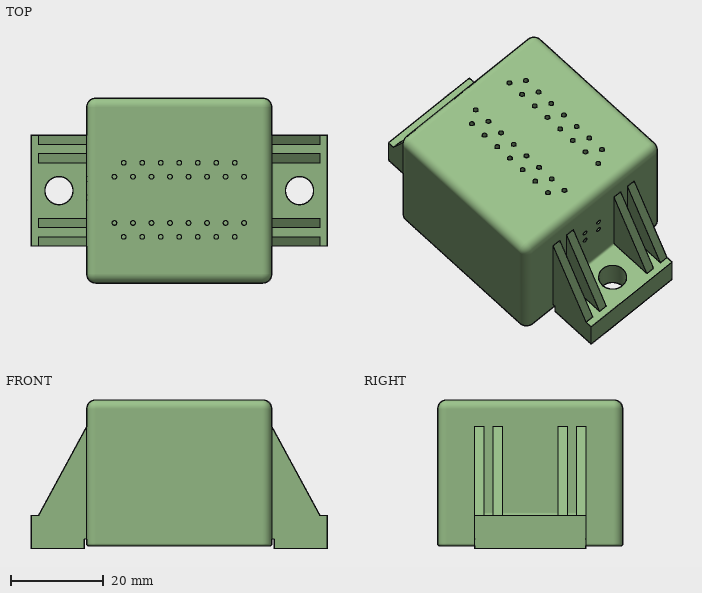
import cadquery as cq

LENGTH = 64.0
BODY_SIDE = 40.0
TOTAL_HEIGHT = 32.1
BODY_BOTTOM = 0.5
BODY_ROUND = 2.0
BODY_BOTTOM_ROUND = 0.5

FOOT_WIDTH = 24.0
FOOT_HEIGHT = 7.2
FOOT_GAP = 0.5
FOOT_GAP_TOP = 2.05
FOOT_ROUND = 0.5
SCREW_HOLE_DIAMETER = 6.0
SCREW_HOLE_INSET = 6.0

RIB_THICKNESS = 2.0
RIB_INSET = 1.6
RIB_TOP = 26.4
INNER_RIB_OFFSET = 6.0

VENT_DIAMETER = 1.0
VENT_DEPTH = 2.0
VENT_PITCH = 4.0
VENT_ROW_STEP = 3.0
INNER_ROW_COUNT = 8
OUTER_ROW_COUNT = 7
ROW_GROUP_CENTER_Y = -2.0
INNER_ROW_OFFSET = 5.0
SIDE_VENT_Y = 0.5
SIDE_VENT_Z = 19.6

HALF_LENGTH = LENGTH / 2
HALF_BODY = BODY_SIDE / 2


def make_body():
    """Square block with large rounds above and on the sides, small rounds below."""
    block = cq.Workplane("XY").workplane(offset=BODY_BOTTOM)
    block = block.rect(BODY_SIDE, BODY_SIDE).extrude(TOTAL_HEIGHT - BODY_BOTTOM)
    block = block.edges("|Z or >Z").fillet(BODY_ROUND)
    return block.faces("<Z").edges().fillet(BODY_BOTTOM_ROUND)


def make_foot():
    """Foot on the -X end, undercut beside the body, with a fillet above the joint."""
    inner_end = -HALF_BODY - FOOT_GAP
    block = (
        cq.Workplane("XZ")
        .moveTo(-HALF_LENGTH, 0)
        .lineTo(inner_end, 0)
        .lineTo(inner_end, FOOT_GAP_TOP)
        .lineTo(-HALF_BODY, FOOT_GAP_TOP)
        .lineTo(-HALF_BODY, FOOT_HEIGHT + FOOT_ROUND)
        .radiusArc((-HALF_BODY - FOOT_ROUND, FOOT_HEIGHT), FOOT_ROUND)
        .lineTo(-HALF_LENGTH, FOOT_HEIGHT)
        .close()
        .extrude(FOOT_WIDTH / 2, both=True)
    )
    screw_hole = (
        cq.Workplane("XY")
        .center(SCREW_HOLE_INSET - HALF_LENGTH, 0)
        .circle(SCREW_HOLE_DIAMETER / 2)
        .extrude(FOOT_HEIGHT)
    )
    return block.cut(screw_hole)


def make_rib(center_y):
    """Triangular rib from the foot up to the -X face of the body."""
    return (
        cq.Workplane("XZ", origin=(0, center_y, 0))
        .moveTo(RIB_INSET - HALF_LENGTH, FOOT_HEIGHT)
        .lineTo(-HALF_BODY, FOOT_HEIGHT)
        .lineTo(-HALF_BODY, RIB_TOP)
        .close()
        .extrude(RIB_THICKNESS / 2, both=True)
    )


def make_bracket():
    """Foot with its outer and inner pairs of ribs."""
    bracket = make_foot()
    inner_rib_y = INNER_RIB_OFFSET + RIB_THICKNESS / 2
    outer_rib_y = FOOT_WIDTH / 2 - RIB_THICKNESS / 2
    for rib_y in (inner_rib_y, outer_rib_y):
        bracket = bracket.union(make_rib(rib_y)).union(make_rib(-rib_y))
    return bracket


def make_vent_row(count, y):
    """Row of blind holes in the top face, centered on X = 0."""
    return (
        cq.Workplane("XY", origin=(0, y, TOTAL_HEIGHT - VENT_DEPTH))
        .rarray(VENT_PITCH, 0.65, count, 1)
        .circle(VENT_DIAMETER / 2)
        .extrude(VENT_DEPTH)
    )


def make_side_vents():
    """Two-by-two group of blind holes in the -X face."""
    return (
        cq.Workplane("YZ", origin=(-HALF_BODY, SIDE_VENT_Y, SIDE_VENT_Z))
        .rarray(VENT_PITCH, VENT_ROW_STEP, 2, 2)
        .circle(VENT_DIAMETER / 2)
        .extrude(VENT_DEPTH)
    )


bracket = make_bracket()
result = make_body().union(bracket).union(bracket.mirror("YZ"))

for side in (-1, 1):
    inner_row_y = ROW_GROUP_CENTER_Y + side * INNER_ROW_OFFSET
    outer_row_y = inner_row_y + side * VENT_ROW_STEP
    result = result.cut(make_vent_row(INNER_ROW_COUNT, inner_row_y))
    result = result.cut(make_vent_row(OUTER_ROW_COUNT, outer_row_y))
result = result.cut(make_side_vents())